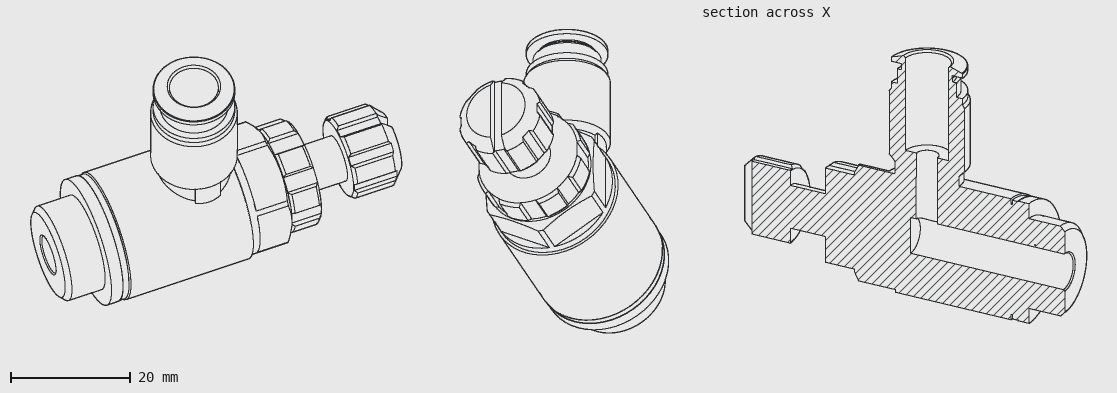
import cadquery as cq
import math


LENGTH = 61.9
HEIGHT = 44.1

THREAD_END_Y = -26.45
FLANGE_START_Y = -19.55
FLANGE_STEP_Y = -17.45
GROOVE_START_Y = -16.35
BODY_START_Y = -16.1
BODY_END_Y = 6.05
COLLAR_END_Y = 7.5
HEX_END_Y = 13.9
LOCK_RING_END_Y = 19.45
KNOB_START_Y = 26.1
KNOB_END_Y = THREAD_END_Y + LENGTH

THREAD_DIA = 16.65
FLANGE_DIA = 22.15
FLANGE_STEP_DIA = 22.0
COLLAR_DIA = 21.4
GROOVE_DIA = 20.4
BODY_DIA = 22.4
STEM_DIA = 8.0
THREAD_CHAMFER = 0.85

HEX_ACROSS_FLATS = 19.0
HEX_CHAMFER_LENGTH = 0.8
HEX_END_DIA = 18.4

GRIP_GROOVES = 8
LOCK_RING_DIA = 18.65
LOCK_RING_FLOOR_DIA = 17.45
LOCK_RING_GROOVE_MOUTH = 3.85
LOCK_RING_GROOVE_FLOOR = 2.8
LOCK_RING_CHAMFER = 0.55
KNOB_DIA = 14.4
KNOB_FLOOR_DIA = 13.5
KNOB_GROOVE_MOUTH = 2.8
KNOB_GROOVE_FLOOR = 1.6
KNOB_CHAMFER = 0.55
KNOB_TIP_DIA = 10.35
KNOB_TIP_LENGTH = 2.0
SLOT_WIDTH = 1.9
SLOT_DEPTH = 1.9

SLEEVE_TAPER_Z = 13.0
SHOULDER_Z = 26.4
SHOULDER_END_Z = 27.5
COLLET_END_Z = 30.15
RIM_ROOT_Z = 30.9
RIM_Z = 31.2
RIM_EDGE_Z = 32.0
BRANCH_END_Z = HEIGHT - BODY_DIA / 2

BRANCH_NECK_DIA = 12.4
SLEEVE_DIA = 14.5
SHOULDER_DIA = 13.7
COLLET_DIA = 11.4
COLLET_NECK_DIA = 9.95
RIM_ROOT_DIA = 9.8
RIM_DIA = 13.7
RIM_CHAMFER = 0.1
SLEEVE_TOP_TAPER = 0.6

SLEEVE_START_Z = SLEEVE_TAPER_Z + (SLEEVE_DIA - BRANCH_NECK_DIA) / 2

RIB_WIDTH = 4.5
RIB_SPAN = 13.1

SOCKET_DIA = 8.2
SOCKET_MOUTH_DIA = 8.9
SOCKET_FLOOR_Z = 15.5
PASSAGE_DIA = 4.0
PORT_DIA = 6.5
PORT_CHAMFER = 0.25
PORT_END_Y = 3.1

CUTTER_ABOVE = 0.6
CUTTER_BELOW = 0.3


def turned_y(profile):
    """Revolve (diameter, y) corners about the Y axis."""
    points = [(dia / 2, y) for dia, y in profile]
    axis_points = [(0, profile[0][1])] + points + [(0, profile[-1][1])]
    return cq.Workplane("XY").polyline(axis_points).close().revolve(360, (0, 0, 0), (0, 1, 0))


def turned_z(profile):
    """Revolve (diameter, z) corners about the Z axis."""
    points = [(dia / 2, z) for dia, z in profile]
    axis_points = [(0, profile[0][1])] + points + [(0, profile[-1][1])]
    return cq.Workplane("XZ").polyline(axis_points).close().revolve(360, (0, 0, 0), (0, 1, 0))


def valve_body():
    return turned_y([
        (THREAD_DIA - 2 * THREAD_CHAMFER, THREAD_END_Y),
        (THREAD_DIA, THREAD_END_Y + THREAD_CHAMFER),
        (THREAD_DIA, FLANGE_START_Y),
        (FLANGE_DIA, FLANGE_START_Y),
        (FLANGE_DIA, FLANGE_STEP_Y),
        (FLANGE_STEP_DIA, FLANGE_STEP_Y),
        (FLANGE_STEP_DIA, GROOVE_START_Y),
        (GROOVE_DIA, GROOVE_START_Y),
        (GROOVE_DIA, BODY_START_Y),
        (BODY_DIA, BODY_START_Y),
        (BODY_DIA, BODY_END_Y),
        (COLLAR_DIA, BODY_END_Y),
        (COLLAR_DIA, COLLAR_END_Y),
        (STEM_DIA, COLLAR_END_Y),
        (STEM_DIA, KNOB_START_Y),
    ])


def hexagon():
    """Hexagon with corners toward +Z and -Z, turned down to the collar diameter."""
    corner_dia = HEX_ACROSS_FLATS / math.cos(math.pi / 6)
    prism = (
        cq.Workplane("XZ", origin=(0, HEX_END_Y, 0))
        .transformed(rotate=(0, 0, 90))
        .polygon(6, corner_dia)
        .extrude(HEX_END_Y - COLLAR_END_Y)
    )
    envelope = turned_y([
        (COLLAR_DIA, COLLAR_END_Y),
        (COLLAR_DIA, HEX_END_Y - HEX_CHAMFER_LENGTH),
        (HEX_END_DIA, HEX_END_Y),
    ])
    return prism.intersect(envelope)


def cut_grip_grooves(blank, outer_dia, floor_dia, mouth_width, floor_width):
    """Cut flared grooves along Y, with the first groove at +Z."""
    outer_radius = outer_dia / 2
    floor_radius = floor_dia / 2
    flare = (mouth_width - floor_width) / (outer_radius - floor_radius) / 2
    groove_top = outer_radius + CUTTER_ABOVE
    groove_bottom = floor_radius - CUTTER_BELOW
    top_half = mouth_width / 2 + flare * CUTTER_ABOVE
    bottom_half = floor_width / 2 - flare * CUTTER_BELOW
    cutter_length = KNOB_END_Y
    groove = (
        cq.Workplane("XZ", origin=(0, cutter_length, 0))
        .polyline([
            (-top_half, groove_top),
            (top_half, groove_top),
            (bottom_half, groove_bottom),
            (-bottom_half, groove_bottom),
        ])
        .close()
        .extrude(cutter_length)
        .cut(turned_y([(floor_dia, 0), (floor_dia, cutter_length)]))
    )
    for index in range(GRIP_GROOVES):
        angle = index * 360 / GRIP_GROOVES
        blank = blank.cut(groove.rotate((0, 0, 0), (0, 1, 0), angle))
    return blank


def lock_ring():
    end_dia = LOCK_RING_DIA - 2 * LOCK_RING_CHAMFER
    blank = turned_y([
        (end_dia, HEX_END_Y),
        (LOCK_RING_DIA, HEX_END_Y + LOCK_RING_CHAMFER),
        (LOCK_RING_DIA, LOCK_RING_END_Y - LOCK_RING_CHAMFER),
        (end_dia, LOCK_RING_END_Y),
    ])
    return cut_grip_grooves(
        blank, LOCK_RING_DIA, LOCK_RING_FLOOR_DIA, LOCK_RING_GROOVE_MOUTH, LOCK_RING_GROOVE_FLOOR
    )


def knob():
    blank = turned_y([
        (KNOB_DIA - 2 * KNOB_CHAMFER, KNOB_START_Y),
        (KNOB_DIA, KNOB_START_Y + KNOB_CHAMFER),
        (KNOB_DIA, KNOB_END_Y - KNOB_TIP_LENGTH),
        (KNOB_TIP_DIA, KNOB_END_Y),
    ])
    grooved = cut_grip_grooves(blank, KNOB_DIA, KNOB_FLOOR_DIA, KNOB_GROOVE_MOUTH, KNOB_GROOVE_FLOOR)
    slot = cq.Workplane("XY").box(SLOT_WIDTH, 2 * SLOT_DEPTH, 2 * KNOB_DIA).translate((0, KNOB_END_Y, 0))
    return grooved.cut(slot)


def branch():
    return turned_z([
        (BRANCH_NECK_DIA, 0),
        (BRANCH_NECK_DIA, SLEEVE_TAPER_Z),
        (SLEEVE_DIA, SLEEVE_START_Z),
        (SLEEVE_DIA, SHOULDER_Z - SLEEVE_TOP_TAPER),
        (SHOULDER_DIA, SHOULDER_Z),
        (SHOULDER_DIA, SHOULDER_END_Z),
        (COLLET_DIA, SHOULDER_END_Z),
        (COLLET_DIA, COLLET_END_Z),
        (COLLET_NECK_DIA, COLLET_END_Z),
        (COLLET_NECK_DIA, RIM_ROOT_Z),
        (RIM_ROOT_DIA, RIM_ROOT_Z),
        (RIM_ROOT_DIA, RIM_Z),
        (RIM_DIA, RIM_Z),
        (RIM_DIA, RIM_EDGE_Z),
        (RIM_DIA - 2 * RIM_CHAMFER, RIM_EDGE_Z + RIM_CHAMFER),
        (SOCKET_MOUTH_DIA, BRANCH_END_Z),
    ])


def neck_ribs():
    """Round-faced ribs on the +X and -X sides of the branch neck."""
    column = turned_z([(RIB_SPAN, 0), (RIB_SPAN, SLEEVE_START_Z)])
    band = cq.Workplane("XY").box(RIB_SPAN, RIB_WIDTH, SLEEVE_START_Z, centered=(True, True, False))
    return column.intersect(band)


def branch_bore():
    mouth_chamfer = (SOCKET_MOUTH_DIA - SOCKET_DIA) / 2
    return turned_z([
        (PASSAGE_DIA, 0),
        (PASSAGE_DIA, SOCKET_FLOOR_Z),
        (SOCKET_DIA, SOCKET_FLOOR_Z),
        (SOCKET_DIA, BRANCH_END_Z - mouth_chamfer),
        (SOCKET_MOUTH_DIA, BRANCH_END_Z),
    ])


def port_bore():
    return turned_y([
        (PORT_DIA + 2 * PORT_CHAMFER, THREAD_END_Y),
        (PORT_DIA, THREAD_END_Y + PORT_CHAMFER),
        (PORT_DIA, PORT_END_Y),
    ])


result = (
    valve_body()
    .union(hexagon())
    .union(lock_ring())
    .union(knob())
    .union(branch())
    .union(neck_ribs())
    .cut(branch_bore())
    .cut(port_bore())
)